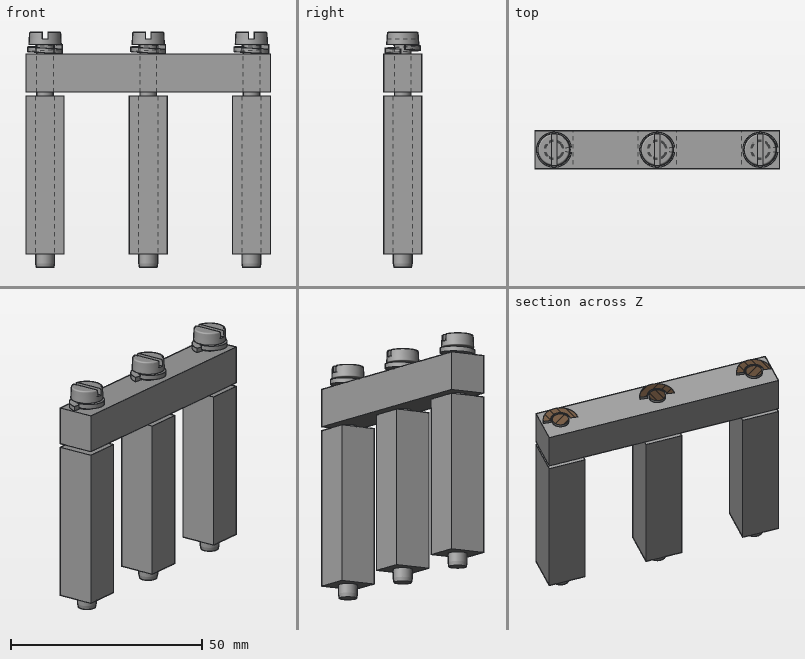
import cadquery as cq
import math

block_width = 10.0
bar_length = 64.0
screw_count = 3
sleeve_length = 41.4
sleeve_gap = 1.0

head_diameter = 8.5
head_height = 3.3
head_taper_angle = 3.0
head_top_fillet = 0.4
head_bottom_fillet = 0.2
slot_width = 1.4
slot_depth = 1.8

neck_diameter = 4.4
neck_fillet = 0.3
thread_diameter = 5.0
tip_projection = 3.5
tip_chamfer_width = 0.2
tip_chamfer_height = 1.0

washer_outer_diameter = 9.2
washer_inner_diameter = 5.1
washer_thickness = 1.2
washer_pitch = 1.25
washer_split_angle = 18.0

screw_pitch = (bar_length - block_width) / (screw_count - 1)
screw_positions = [(i - (screw_count - 1) / 2) * screw_pitch for i in range(screw_count)]
washer_turn = 1 - washer_split_angle / 360
washer_height = washer_thickness + washer_pitch * washer_turn
head_top = washer_height + head_height
bar_bottom = -block_width
sleeve_top = bar_bottom - sleeve_gap
sleeve_bottom = sleeve_top - sleeve_length
screw_bottom = sleeve_bottom - tip_projection


def make_bar():
    """Square bar with a hole for the neck of each screw."""
    bar = cq.Workplane("XY").box(bar_length, block_width, block_width, centered=(True, True, False))
    bar = bar.translate((0, 0, bar_bottom))
    return (
        bar.faces(">Z").workplane(origin=(0, 0, 0))
        .pushPoints([(x, 0) for x in screw_positions])
        .hole(neck_diameter)
    )


def make_sleeve(x):
    """Square sleeve bored right through for the threaded part of the screw."""
    return (
        cq.Workplane("XY", origin=(x, 0, sleeve_bottom))
        .rect(block_width, block_width)
        .circle(thread_diameter / 2)
        .extrude(sleeve_length)
    )


def make_screw(x):
    """Slotted cheese-head screw with a reduced neck and a chamfered tip, turned about its own axis."""
    head_radius = head_diameter / 2
    head_top_radius = head_radius - head_height * math.tan(math.radians(head_taper_angle))
    neck_radius = neck_diameter / 2
    thread_radius = thread_diameter / 2
    turned = (
        cq.Workplane("XZ")
        .moveTo(0, screw_bottom)
        .lineTo(thread_radius - tip_chamfer_width, screw_bottom)
        .lineTo(thread_radius, screw_bottom + tip_chamfer_height)
        .lineTo(thread_radius, sleeve_top)
        .lineTo(neck_radius, sleeve_top)
        .lineTo(neck_radius, washer_height - neck_fillet)
        .tangentArcPoint((neck_fillet, neck_fillet))
        .lineTo(head_radius, washer_height)
        .lineTo(head_top_radius, head_top)
        .lineTo(0, head_top)
        .close()
        .revolve(360, (0, 0, 0), (0, 1, 0))
        .faces(">Z").edges().fillet(head_top_fillet)
        .edges(cq.selectors.RadiusNthSelector(-1)).fillet(head_bottom_fillet)
    )
    slot = (
        cq.Workplane("XY", origin=(0, 0, head_top - slot_depth))
        .rect(slot_width, head_diameter)
        .extrude(slot_depth)
    )
    return turned.cut(slot).translate((x, 0, 0))


def make_spring_washer(x):
    """Split spring washer: a rectangular section on one left-hand helical turn, split on the +X side."""
    ring_width = (washer_outer_diameter - washer_inner_diameter) / 2
    mean_radius = (washer_outer_diameter + washer_inner_diameter) / 4
    helix = cq.Wire.makeHelix(washer_pitch, washer_pitch * washer_turn, mean_radius, lefthand=True)
    washer = (
        cq.Workplane("XZ")
        .center(mean_radius, 0)
        .rect(ring_width, washer_thickness)
        .sweep(cq.Workplane(helix), isFrenet=True)
    )
    washer = washer.rotate((0, 0, 0), (0, 0, 1), -washer_split_angle / 2)
    return washer.translate((x, 0, washer_thickness / 2))


bar = make_bar()
sleeves = [make_sleeve(x) for x in screw_positions]
screws = [make_screw(x) for x in screw_positions]
washers = [make_spring_washer(x) for x in screw_positions]

bodies = [bar, *sleeves, *screws, *washers]
result = cq.Compound.makeCompound([body.solids().val() for body in bodies])